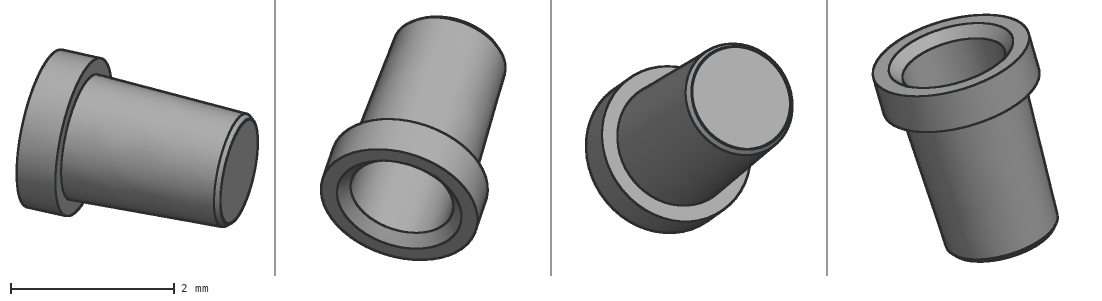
import cadquery as cq

length = 2.54
flange_diameter = 1.98
flange_thickness = 0.508

barrel_root_diameter = 1.575
barrel_tip_diameter = 1.422
tip_chamfer_length = 0.064
tip_chamfer_depth = 0.05

bore_diameter = 1.3
lead_in_diameter = barrel_root_diameter
lead_in_depth = (lead_in_diameter - bore_diameter) / 2

plug_length = 0.508


def make_sleeve():
    """Flanged, tapered sleeve with a through bore, revolved about X."""
    bore_radius = bore_diameter / 2
    tip_radius = barrel_tip_diameter / 2
    return (
        cq.Workplane("XZ")
        .moveTo(0, lead_in_diameter / 2)
        .lineTo(0, flange_diameter / 2)
        .lineTo(flange_thickness, flange_diameter / 2)
        .lineTo(flange_thickness, barrel_root_diameter / 2)
        .lineTo(length - tip_chamfer_length, tip_radius)
        .lineTo(length, tip_radius - tip_chamfer_depth)
        .lineTo(length, bore_radius)
        .lineTo(lead_in_depth, bore_radius)
        .close()
        .revolve(360, (0, 0, 0), (1, 0, 0))
    )


def make_plug():
    """Cylindrical plug filling the bore, flush with the barrel tip."""
    return (
        cq.Workplane("YZ")
        .workplane(offset=length - plug_length)
        .circle(bore_diameter / 2)
        .extrude(plug_length)
    )


sleeve = make_sleeve()
plug = make_plug()

result = cq.Compound.makeCompound([sleeve.val(), plug.val()])